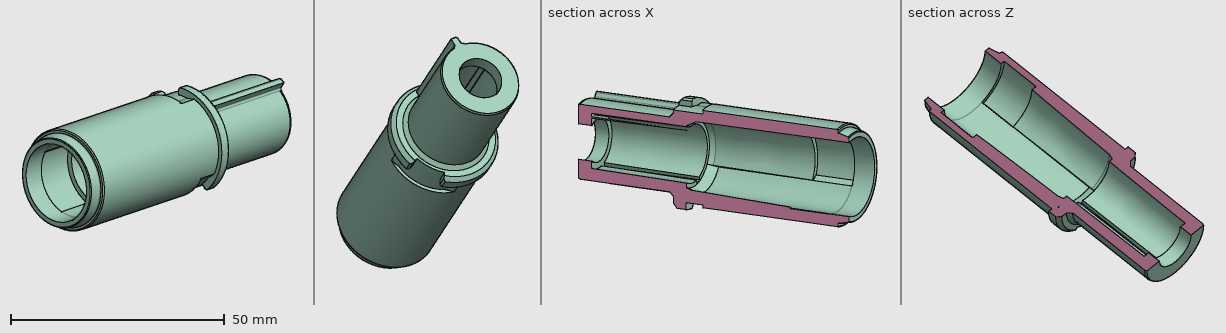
import cadquery as cq
import math

LENGTH = 72.0

STEM_RADIUS = 9.65
STEM_EDGE_INSET = 0.2
STEM_EDGE_RUN = 0.6
STEM_ROOT_STATION = 24.3
STEM_ROOT_RADIUS = 10.65

FLANGE_BACK = 25.3
FLANGE_FRONT = 28.65
FLANGE_RADIUS = 13.25
FLANGE_CHAMFER = 1.0

BODY_RADIUS = 12.25
BODY_END = 69.1
BODY_EDGE_CHAMFER = 0.3
TAPER_START = 69.4
TAPER_START_RADIUS = 11.4
MOUTH_RADIUS = 10.8
MOUTH_EDGE_CHAMFER = 0.2

MOUTH_BORE_RADIUS = 9.4
MOUTH_BORE_DEPTH = 5.3
CONE_END_RADIUS = 8.5
CONE_END_STATION = 30.25
SHOULDER_RADIUS = 8.1
SHOULDER_STATION = 28.8
STEM_BORE_RADIUS = 7.05
STEM_BORE_END_RADIUS = 6.8
FLOOR_THICKNESS = 3.6
HOLE_RADIUS = 5.25

PAIR_TURN = 20.0
RELIEF_RADIUS = 11.4
GAP_HALF_ANGLE = 18.5
GAP_CORNER_BEVEL = 0.5
RELIEF_END = 33.05
RELIEF_WALL_HALF_ANGLE = 32.0
RELIEF_WALL_SLOPE = 15.0

GROOVE_WIDTH = 1.4
GROOVE_RADIUS = 7.85

POCKET_RADIUS = 10.45
POCKET_END_DEPTH = 15.7
POCKET_START_ANGLE = -31.0
POCKET_END_ANGLE = 71.0
POCKET_WALL_LEAN = 9.0

WIDE_SECTOR_END_RADIUS = 9.3
WIDE_SECTOR_END_STATION = 31.3

KEY_ANGLE = 56.0
KEY_WIDTH = 1.7
KEY_RADIUS = 11.7
KEY_TOP_FILLET = 0.5
KEY_ROOT_FLARE = 0.65
KEY_SUNK_DEPTH = 1.1

CLEAR_RADIUS = FLANGE_RADIUS + 3.6
FLOOR_OVERLAP = 0.7


def polar(radius, degrees):
    angle = math.radians(degrees)
    return (radius * math.cos(angle), radius * math.sin(angle))


def station_plane(station, turn=0.0):
    """Cross-section plane at a station, facing the mouth; `turn` rotates it from +X towards +Z."""
    x_direction, z_direction = polar(1.0, turn)
    plane = cq.Plane(origin=(0, -station, 0), xDir=(x_direction, 0, z_direction), normal=(0, -1, 0))
    return cq.Workplane(plane)


def revolved(profile, sweep=360):
    """Solid swept from +X towards +Z by (radius, station) points; the axis closes the outline."""
    points = [(radius, -station) for radius, station in profile]
    return cq.Workplane("XY").polyline(points).close().revolve(sweep, (0, 0, 0), (0, -1, 0))


def opposite_pair(station, make_cutter):
    """The cutter made on the paired axis and again half a turn round."""
    first = make_cutter(station_plane(station, PAIR_TURN))
    second = make_cutter(station_plane(station, PAIR_TURN + 180))
    return first.union(second)


def outer_shell():
    return revolved([
        (0, 0),
        (STEM_RADIUS - STEM_EDGE_INSET, 0),
        (STEM_RADIUS, STEM_EDGE_RUN),
        (STEM_RADIUS, STEM_ROOT_STATION),
        (STEM_ROOT_RADIUS, FLANGE_BACK),
        (FLANGE_RADIUS - FLANGE_CHAMFER, FLANGE_BACK),
        (FLANGE_RADIUS, FLANGE_BACK + FLANGE_CHAMFER),
        (FLANGE_RADIUS, FLANGE_FRONT),
        (BODY_RADIUS, FLANGE_FRONT),
        (BODY_RADIUS, BODY_END - BODY_EDGE_CHAMFER),
        (BODY_RADIUS - BODY_EDGE_CHAMFER, BODY_END),
        (TAPER_START_RADIUS, BODY_END),
        (TAPER_START_RADIUS, TAPER_START),
        (MOUTH_RADIUS, LENGTH - MOUTH_EDGE_CHAMFER),
        (MOUTH_RADIUS - MOUTH_EDGE_CHAMFER, LENGTH),
        (0, LENGTH),
    ])


def bore():
    return revolved([
        (0, 0),
        (HOLE_RADIUS, 0),
        (HOLE_RADIUS, FLOOR_THICKNESS),
        (STEM_BORE_END_RADIUS, FLOOR_THICKNESS),
        (STEM_BORE_RADIUS, SHOULDER_STATION),
        (SHOULDER_RADIUS, SHOULDER_STATION),
        (CONE_END_RADIUS, CONE_END_STATION),
        (MOUTH_BORE_RADIUS, LENGTH - MOUTH_BORE_DEPTH),
        (MOUTH_BORE_RADIUS, LENGTH),
        (0, LENGTH),
    ])


def key():
    """Rib along the stem with flared roots and one rounded top edge, sunk a little into the stem."""
    half = KEY_WIDTH / 2
    flared_half = half + KEY_ROOT_FLARE
    foot = math.sqrt(STEM_RADIUS**2 - flared_half**2)
    base = foot - KEY_SUNK_DEPTH
    return (
        station_plane(0, KEY_ANGLE)
        .moveTo(base, -flared_half)
        .lineTo(foot, -flared_half)
        .radiusArc((foot + KEY_ROOT_FLARE, -half), KEY_ROOT_FLARE)
        .lineTo(KEY_RADIUS, -half)
        .lineTo(KEY_RADIUS, half - KEY_TOP_FILLET)
        .radiusArc((KEY_RADIUS - KEY_TOP_FILLET, half), -KEY_TOP_FILLET)
        .lineTo(foot + KEY_ROOT_FLARE, half)
        .radiusArc((foot, flared_half), KEY_ROOT_FLARE)
        .lineTo(base, flared_half)
        .close()
        .extrude(FLANGE_BACK)
    )


def mirrored(right):
    """Closed outline from its right half, symmetric about the local Y axis."""
    return right + [(-x, y) for x, y in reversed(right)]


def flange_gap(plane):
    """Opening through the flange rim with bevelled outer corners."""
    root_side, root_height = polar(RELIEF_RADIUS - FLOOR_OVERLAP, 90 - GAP_HALF_ANGLE)
    side, height = polar(FLANGE_RADIUS - GAP_CORNER_BEVEL, 90 - GAP_HALF_ANGLE)
    bevel_run, bevel_rise = polar(CLEAR_RADIUS - FLANGE_RADIUS, 45 - GAP_HALF_ANGLE)
    right = [(root_side, root_height), (side, height), (side + bevel_run, height + bevel_rise)]
    return plane.polyline(mirrored(right)).close().extrude(RELIEF_END - FLANGE_BACK)


def body_relief(plane):
    """Shallow recess in the body in front of the flange, ending in sloped flat walls."""
    side, height = polar(RELIEF_RADIUS, 90 - RELIEF_WALL_HALF_ANGLE)
    run, rise = polar(CLEAR_RADIUS - RELIEF_RADIUS, -RELIEF_WALL_SLOPE)
    right = [(side, height), (side + run, height + rise), (side + run, CLEAR_RADIUS)]
    start = plane.workplane(offset=FLANGE_FRONT - FLANGE_BACK)
    return start.polyline(mirrored(right)).close().extrude(RELIEF_END - FLANGE_FRONT)


def gap_and_relief(plane):
    """Flange gap and body relief, which share one cylindrical floor."""
    core = plane.circle(RELIEF_RADIUS).extrude(RELIEF_END - FLANGE_BACK)
    return flange_gap(plane).union(body_relief(plane)).cut(core)


def bore_groove(plane):
    length = SHOULDER_STATION - FLOOR_THICKNESS
    strip = plane.center(0, GROOVE_RADIUS / 2).rect(GROOVE_WIDTH, GROOVE_RADIUS).extrude(length)
    return strip.intersect(plane.circle(GROOVE_RADIUS).extrude(length))


def pocket(half_turn):
    """Undercut sector behind the mouth bore, with one leaning side wall."""
    depth = POCKET_END_DEPTH - MOUTH_BORE_DEPTH
    outer_start = POCKET_START_ANGLE + POCKET_WALL_LEAN
    middle = (outer_start + POCKET_END_ANGLE) / 2
    return (
        station_plane(LENGTH - POCKET_END_DEPTH, half_turn)
        .moveTo(0, 0)
        .lineTo(*polar(MOUTH_BORE_RADIUS, POCKET_START_ANGLE))
        .lineTo(*polar(POCKET_RADIUS, outer_start))
        .threePointArc(polar(POCKET_RADIUS, middle), polar(POCKET_RADIUS, POCKET_END_ANGLE))
        .close()
        .extrude(depth)
    )


def wide_sector(half_turn):
    """Sector between two pockets with a nearly straight wall and a steep conical end."""
    profile = [
        (0, SHOULDER_STATION),
        (SHOULDER_RADIUS, SHOULDER_STATION),
        (WIDE_SECTOR_END_RADIUS, WIDE_SECTOR_END_STATION),
        (MOUTH_BORE_RADIUS, LENGTH - MOUTH_BORE_DEPTH),
        (0, LENGTH - MOUTH_BORE_DEPTH),
    ]
    sweep = POCKET_START_ANGLE + 180 - POCKET_END_ANGLE
    sector = revolved(profile, sweep)
    return sector.rotate((0, 0, 0), (0, -1, 0), POCKET_END_ANGLE + half_turn)


result = outer_shell().union(key())
result = result.cut(bore())
result = result.cut(opposite_pair(FLANGE_BACK, gap_and_relief))
result = result.cut(opposite_pair(FLOOR_THICKNESS, bore_groove))
for half_turn in (0, 180):
    result = result.cut(pocket(half_turn))
    result = result.cut(wide_sector(half_turn))